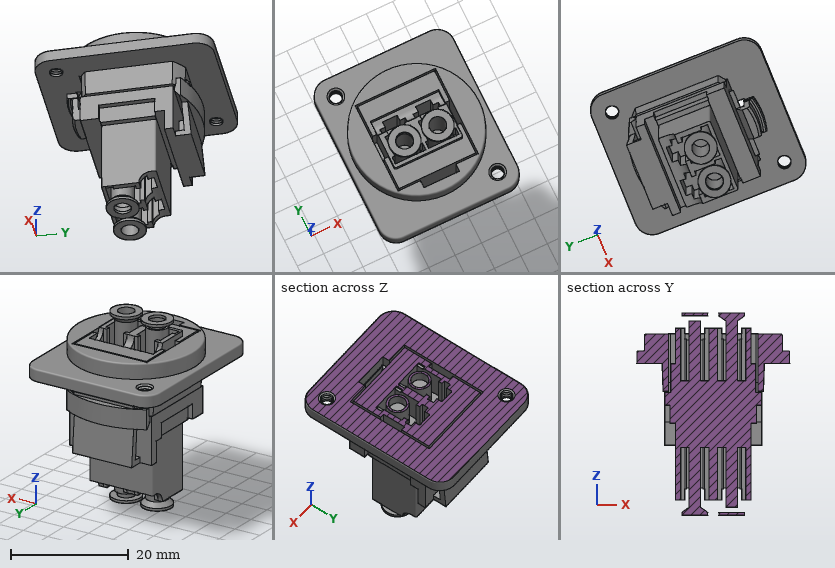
import cadquery as cq
import math


plate_width = 26.0
plate_depth = 31.0
plate_thickness = 2.25
plate_corner_radius = 3.1
edge_rounding = 0.3
boss_radius = 11.75
boss_top = 5.1

screw_x = 9.45
screw_y = 11.97
thread_minor_diameter = 2.27
thread_major_diameter = 3.0
thread_pitch = 0.5
thread_turns = 4

opening_half_width = 7.57
opening_half_depth = 8.35
latch_slot_half_width = 3.35
latch_slot_y = -9.75

skirt_height = 4.68
skirt_radius = 11.85
skirt_half_width = 8.7
skirt_back_y = 9.87
skirt_front_corner_y = -7.15
skirt_front_y = -8.22
skirt_front_half_width = 7.35
skirt_draft = 2.0

latch_top_half_width = 3.13
latch_half_width = 2.95
latch_tip_half_width = 2.7
latch_shoulder_z = -1.0
latch_arm_radius = 10.85
latch_tip_z = -5.45

insert_half_width = 7.25
insert_half_depth = 8.05
insert_groove_half_length = 2.2
insert_groove_floor_z = 0
body_half_width = 8.25
body_top = -4.9
body_bottom = -9.9
leg_front_y = 6.55
leg_bottom = -13.85
wedge_half_width = 6.0
wedge_top = -1.6
wedge_bottom = -3.2
wedge_reach = 0.8

grip_half_width = 8.05
grip_inner_y = 8.25
grip_end_y = 9.32
grip_outer_y = 11.55
grip_top = -3.2
grip_bottom = -6.88
grip_chamfer_width = 0.83
grip_chamfer_height = 1.0
arm_half_width = 6.0
foot_top = -12.83
web_half_width = 3.0
web_top = -8.45

housing_half_width = 6.45
housing_half_depth = 4.75
housing_top = 6.05
housing_bottom = -23.2
housing_mid_z = (housing_top + housing_bottom) / 2
flange_half_width = 7.35
flange_window_half_depth = 4.85
flange_top = -7.1
flange_bottom = -10.15
step_y = 1.75
step_radius = 2.05

port_x = 3.13
port_depth = 8.95
port_side_pocket_depth = 4.13
port_half_width = 2.37
port_back_y = 2.95
port_front_y = -4.1
key_slot_half_width = 1.38
key_slot_back_y = 4.02
waist_half_width = 1.7
waist_front_y = 0.95
side_pocket_half_width = 2.85
side_pocket_back_y = -2.82
plug_y = -1.72
plug_body_diameter = 4.0
plug_flange_diameter = 5.6
plug_neck_diameter = 3.1
plug_bore_diameter = 3.0
plug_bore_depth = 8.25
plug_top = 8.65
plug_flange_thickness = 0.5
plug_body_top = 7.25


def box(x0, x1, y0, y1, z0, z1):
    """Axis-aligned block between two opposite corners."""
    return cq.Workplane("XY").box(x1 - x0, y1 - y0, z1 - z0, centered=False).translate((x0, y0, z0))


def wide_box(half_width, y0, y1, z0, z1):
    """Block centred on X = 0."""
    return box(-half_width, half_width, y0, y1, z0, z1)


def extrude_x(profile_yz, half_width):
    """Extrude a closed YZ profile to both sides of X = 0."""
    return profile_yz.close().extrude(half_width, both=True)


def cylinder(diameter, z0, z1):
    return cq.Workplane("XY").workplane(offset=z0).circle(diameter / 2).extrude(z1 - z0)


def opposite_end(shape):
    """The shape turned half a turn about the Y direction through the middle of the housing."""
    return shape.rotate((0, 0, housing_mid_z), (0, 1, housing_mid_z), 180)


def threaded_hole():
    """Through hole with V-shaped thread grooves, widest at the top face."""
    minor = thread_minor_diameter / 2
    major = thread_major_diameter / 2
    profile = cq.Workplane("XZ").moveTo(0, plate_thickness).lineTo(major, plate_thickness)
    for turn in range(thread_turns):
        crest_z = plate_thickness - (turn + 0.5) * thread_pitch
        profile = profile.lineTo(minor, crest_z)
        if turn < thread_turns - 1:
            profile = profile.lineTo(major, crest_z - thread_pitch / 2)
    profile = profile.lineTo(minor, 0).lineTo(0, 0)
    return profile.close().revolve(360, (0, 0, 0), (0, 1, 0))


def skirt():
    """Tapered skirt with angled front corners and back corners that are round."""
    back_half_width = math.sqrt(skirt_radius**2 - skirt_back_y**2)
    side_end_y = math.sqrt(skirt_radius**2 - skirt_half_width**2)
    back_angle = math.atan2(skirt_back_y, back_half_width)
    side_angle = math.atan2(side_end_y, skirt_half_width)
    arc_angle = (back_angle + side_angle) / 2
    arc_x = skirt_radius * math.cos(arc_angle)
    arc_y = skirt_radius * math.sin(arc_angle)
    return (
        cq.Workplane("XY")
        .moveTo(-skirt_front_half_width, skirt_front_y)
        .lineTo(skirt_front_half_width, skirt_front_y)
        .lineTo(skirt_half_width, skirt_front_corner_y)
        .lineTo(skirt_half_width, side_end_y)
        .threePointArc((arc_x, arc_y), (back_half_width, skirt_back_y))
        .lineTo(-back_half_width, skirt_back_y)
        .threePointArc((-arc_x, arc_y), (-skirt_half_width, side_end_y))
        .lineTo(-skirt_half_width, skirt_front_corner_y)
        .close()
        .extrude(-skirt_height, taper=skirt_draft)
    )


def frame():
    plate = cq.Workplane("XY").rect(plate_width, plate_depth).extrude(plate_thickness)
    plate = plate.edges("|Z").fillet(plate_corner_radius)
    plate = plate.faces(">Z").edges().fillet(edge_rounding)
    boss = cylinder(2 * boss_radius, 0, boss_top).faces(">Z").edges().fillet(edge_rounding)
    shape = plate.union(boss).union(skirt())
    shape = shape.cut(
        wide_box(opening_half_width, -opening_half_depth, opening_half_depth, -skirt_height, boss_top)
    )
    shape = shape.cut(wide_box(latch_slot_half_width, latch_slot_y, 0, -skirt_height, boss_top))
    for side in (-1, 1):
        shape = shape.cut(threaded_hole().translate((side * screw_x, -side * screw_y, 0)))
    return shape


def fixed_latch():
    """Hook below the plate: round outer faces, tapered sides and a tooth towards the insert."""
    inner_top_y = -9.6
    inner_bottom_y = -9.45
    tooth_y = -insert_half_depth
    tooth_end_z = -3.55
    tip_inner_y = -9.15
    tip_chamfer = 0.45
    blend_size = 0.35
    lead_chamfer = 0.2

    profile = (
        cq.Workplane("YZ")
        .moveTo(inner_top_y, 0)
        .lineTo(inner_bottom_y, wedge_bottom)
        .lineTo(tooth_y, wedge_bottom)
        .lineTo(tooth_y, tooth_end_z)
        .lineTo(tip_inner_y, latch_tip_z)
        .lineTo(-boss_radius, latch_tip_z)
        .lineTo(-boss_radius, 0)
    )
    hook = extrude_x(profile, latch_top_half_width)
    outer = (
        cq.Workplane("XZ")
        .lineTo(boss_radius, 0)
        .lineTo(boss_radius, latch_shoulder_z + lead_chamfer)
        .lineTo(boss_radius - lead_chamfer, latch_shoulder_z)
        .lineTo(latch_arm_radius + blend_size, latch_shoulder_z)
        .lineTo(latch_arm_radius, latch_shoulder_z - blend_size)
        .lineTo(latch_arm_radius, latch_tip_z + tip_chamfer)
        .lineTo(latch_arm_radius - tip_chamfer, latch_tip_z)
        .lineTo(0, latch_tip_z)
        .close()
        .revolve(360, (0, 0, 0), (0, 1, 0))
    )
    sides = (
        cq.Workplane("XZ")
        .moveTo(-latch_top_half_width, 0)
        .lineTo(latch_top_half_width, 0)
        .lineTo(latch_top_half_width, latch_shoulder_z)
        .lineTo(latch_half_width, latch_shoulder_z)
        .lineTo(latch_tip_half_width, latch_tip_z)
        .lineTo(-latch_tip_half_width, latch_tip_z)
        .lineTo(-latch_half_width, latch_shoulder_z)
        .lineTo(-latch_top_half_width, latch_shoulder_z)
        .close()
        .extrude(plate_depth / 2)
    )
    return hook.intersect(outer).intersect(sides)


def wedge():
    """Ramp on the -Y wall of the insert that catches the fixed latch."""
    profile = (
        cq.Workplane("YZ")
        .moveTo(-insert_half_depth, wedge_top)
        .lineTo(-insert_half_depth - wedge_reach, wedge_bottom)
        .lineTo(-insert_half_depth, wedge_bottom)
    )
    return extrude_x(profile, wedge_half_width)


def insert():
    upper = wide_box(insert_half_width, -insert_half_depth, insert_half_depth, body_top, boss_top)
    groove_y = insert_groove_half_length
    upper = upper.cut(
        wide_box(insert_half_width, -groove_y, groove_y, insert_groove_floor_z, boss_top)
    )
    body = wide_box(body_half_width, -insert_half_depth, insert_half_depth, body_bottom, body_top)
    window_y = flange_window_half_depth
    body = body.cut(wide_box(body_half_width, -window_y, window_y, body_bottom, flange_top))
    core = wide_box(flange_half_width, -insert_half_depth, insert_half_depth, body_bottom, body_top)
    leg = wide_box(body_half_width, leg_front_y, insert_half_depth, leg_bottom, body_top)
    shape = upper.union(body).union(core).union(leg)
    return shape.union(wedge()).union(wedge().mirror("XZ"))


def finger_grip():
    """Bowed grip with a chamfered lower inner edge."""
    grip = (
        cq.Workplane("XY")
        .workplane(offset=grip_bottom)
        .moveTo(-grip_half_width, grip_inner_y)
        .lineTo(grip_half_width, grip_inner_y)
        .lineTo(grip_half_width, grip_end_y)
        .threePointArc((0, grip_outer_y), (-grip_half_width, grip_end_y))
        .close()
        .extrude(grip_top - grip_bottom)
    )
    chamfer = (
        cq.Workplane("YZ")
        .moveTo(grip_inner_y, grip_bottom)
        .lineTo(grip_inner_y + grip_chamfer_width, grip_bottom)
        .lineTo(grip_inner_y, grip_bottom + grip_chamfer_height)
    )
    return grip.cut(extrude_x(chamfer, grip_half_width))


def spring_arm():
    """Leaning arm from the foot of the leg up to the grip, with a web and a ramped tip."""
    foot_outer_y = 10.75
    foot_inner_y = 9.53
    arm_top_outer_y = 10.1
    arm_top_inner_y = grip_inner_y + grip_chamfer_width
    tip_outer_y = 10.32
    tip_crest_y = 9.85
    tip_ramp_z = -2.7
    tip_crest_z = -2.1

    arm_profile = (
        cq.Workplane("YZ")
        .moveTo(insert_half_depth, leg_bottom)
        .lineTo(foot_outer_y, leg_bottom)
        .lineTo(arm_top_outer_y, grip_bottom)
        .lineTo(arm_top_inner_y, grip_bottom)
        .lineTo(foot_inner_y, foot_top)
        .lineTo(insert_half_depth, foot_top)
    )
    tip_profile = (
        cq.Workplane("YZ")
        .moveTo(grip_end_y, grip_top)
        .lineTo(tip_outer_y, grip_top)
        .lineTo(tip_outer_y, tip_ramp_z)
        .lineTo(tip_crest_y, tip_crest_z)
        .lineTo(grip_end_y, tip_crest_z)
    )
    arm = extrude_x(arm_profile, arm_half_width)
    tip = extrude_x(tip_profile, arm_half_width)
    web = wide_box(web_half_width, insert_half_depth, grip_end_y, foot_top, web_top)
    return arm.union(tip).union(web).union(finger_grip())


def housing():
    shape = wide_box(
        housing_half_width, -housing_half_depth, housing_half_depth, housing_bottom, housing_top
    )
    shape = shape.edges("|Z").fillet(edge_rounding)
    flange = wide_box(
        flange_half_width, -housing_half_depth, housing_half_depth, flange_bottom, flange_top
    )
    return shape.union(flange)


def end_step():
    """Cut at the top end of the housing that leaves a concave step on its +Y side."""
    floor_z = housing_top - step_radius
    centre_y = step_y + step_radius
    arc_offset = step_radius * math.sqrt(0.5)
    profile = (
        cq.Workplane("YZ")
        .moveTo(step_y, housing_top)
        .threePointArc((centre_y - arc_offset, housing_top - arc_offset), (centre_y, floor_z))
        .lineTo(housing_half_depth, floor_z)
        .lineTo(housing_half_depth, housing_top)
    )
    return extrude_x(profile, housing_half_width)


def port():
    """Stepped connector cavity at the top end, built from (half width, y0, y1, depth) bands."""
    bands = (
        (key_slot_half_width, port_back_y, key_slot_back_y, port_depth),
        (port_half_width, step_y, port_back_y, port_depth),
        (waist_half_width, waist_front_y, step_y, port_depth),
        (port_half_width, port_front_y, waist_front_y, port_depth),
        (side_pocket_half_width, port_front_y, side_pocket_back_y, port_side_pocket_depth),
    )
    shape = cq.Workplane("XY")
    for half_width, y0, y1, depth in bands:
        shape = shape.union(wide_box(half_width, y0, y1, housing_top - depth, housing_top))
    return shape


def plug(conical):
    """Dust plug standing on the port floor, with a cone or a narrow neck below its flange."""
    body_radius = plug_body_diameter / 2
    neck_radius = plug_neck_diameter / 2
    flange_radius = plug_flange_diameter / 2
    floor_z = housing_top - port_depth
    flange_z = plug_top - plug_flange_thickness

    outline = [(0, floor_z), (body_radius, floor_z), (body_radius, plug_body_top)]
    if not conical:
        outline += [(neck_radius, plug_body_top), (neck_radius, flange_z)]
    outline += [(flange_radius, flange_z), (flange_radius, plug_top), (0, plug_top)]
    shape = cq.Workplane("XZ").polyline(outline).close().revolve(360, (0, 0, 0), (0, 1, 0))
    return shape.cut(cylinder(plug_bore_diameter, plug_top - plug_bore_depth, plug_top))


coupler = frame().union(fixed_latch()).union(insert()).union(spring_arm()).union(housing())

end_cuts = end_step()
for x in (-port_x, port_x):
    end_cuts = end_cuts.union(port().translate((x, 0, 0)))
coupler = coupler.cut(end_cuts).cut(opposite_end(end_cuts))

for x, conical in ((-port_x, False), (port_x, True)):
    end_plug = plug(conical).translate((x, plug_y, 0))
    coupler = coupler.union(end_plug).union(opposite_end(end_plug))

result = coupler